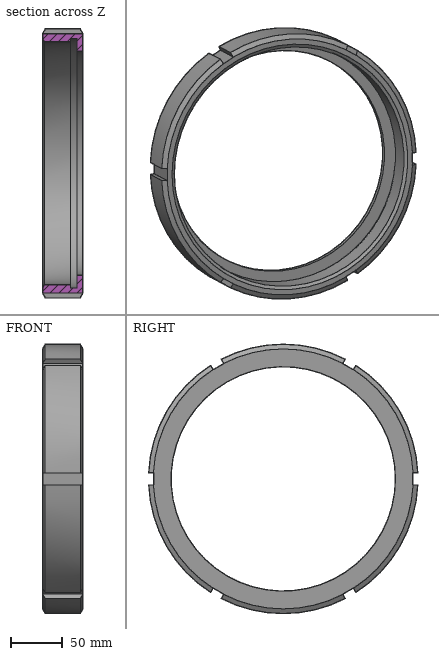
import cadquery as cq

width = 39.0
outer_diameter = 260.0
lip_diameter = 216.0
bore_diameter = 234.3
bore_mouth_diameter = 240.5
mouth_depth = 1.8
lip_thickness = 6.0

relief_diameter = 240.5
relief_width = 6.0

chamfer_width = 2.5
chamfer_depth = 4.7

slot_count = 6
slot_width = 11.7
slot_floor_radius = 125.0

outer_radius = outer_diameter / 2
lip_radius = lip_diameter / 2
bore_radius = bore_diameter / 2
mouth_radius = bore_mouth_diameter / 2
relief_radius = relief_diameter / 2
face_radius = outer_radius - chamfer_depth
half_width = width / 2
lip_face = half_width - lip_thickness
relief_start = lip_face - relief_width


def ring_body():
    """Revolve the ring section, drawn as (axial position, radius), about X."""
    section = [
        (-half_width, mouth_radius),
        (-half_width, face_radius),
        (-half_width + chamfer_width, outer_radius),
        (half_width - chamfer_width, outer_radius),
        (half_width, face_radius),
        (half_width, lip_radius),
        (lip_face, lip_radius),
        (lip_face, relief_radius),
        (relief_start, relief_radius),
        (relief_start, bore_radius),
        (-half_width + mouth_depth, bore_radius),
    ]
    return cq.Workplane("XY").polyline(section).close().revolve(360, (0, 0, 0), (1, 0, 0))


def spanner_slot(angle):
    """Flat-floored cutter across the full width, turned about X from the +Y side."""
    cutter_height = outer_radius
    cutter = cq.Workplane("XY").box(width, cutter_height, slot_width)
    cutter = cutter.translate((0, slot_floor_radius + cutter_height / 2, 0))
    return cutter.rotate((0, 0, 0), (1, 0, 0), angle)


result = ring_body()
for index in range(slot_count):
    result = result.cut(spanner_slot(index * 360 / slot_count))